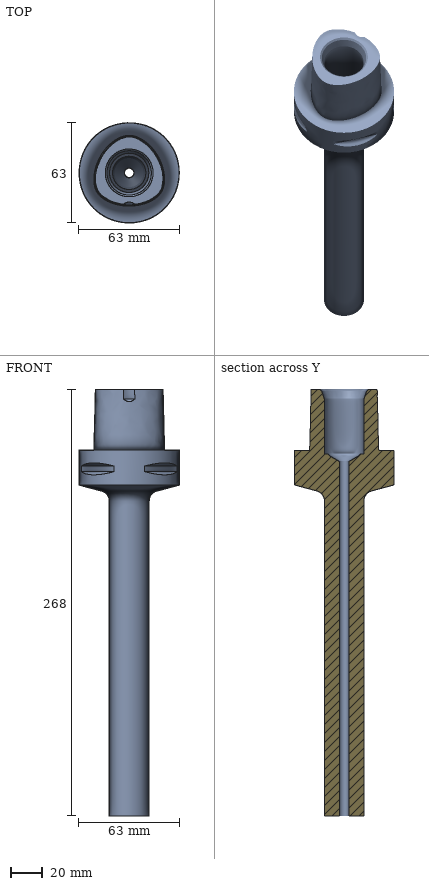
import cadquery as cq
import math

total_length = 268.0
polygon_height = 38.0
bottom_z = polygon_height - total_length

base_mean_radius = 22.2
taper_per_height = 1 / 40
lobe_rise = 1.3
outline_points = 48

flange_radius = 31.5
flange_height = 22.0
bar_radius = 12.5
neck_fillet = 6.2
cone_angle = math.radians(15)

groove_center_z = -11.8
groove_floor_height = 3.5
groove_depth = 3.5
groove_flank_angle = math.radians(30)

notch_radius = 4.8
notch_depth = 1.5
notch_straight_height = 6.0

mouth_radius = 15.0
mouth_chamfer = 1.0
mouth_depth = 6.0
seat_radius = 12.3
bore_radius = 10.5
point_radius = 9.0
bore_depth = 40.2
coolant_radius = 3.0
drill_point_angle = math.radians(30)


def polygon_wire(mean_radius, z):
    """Closed three-lobed outline of constant width at height z."""

    def point(index):
        angle = 2 * math.pi * index / outline_points
        support = mean_radius - lobe_rise * math.sin(3 * angle)
        slope = -3 * lobe_rise * math.cos(3 * angle)
        x = support * math.cos(angle) - slope * math.sin(angle)
        y = support * math.sin(angle) + slope * math.cos(angle)
        return cq.Vector(x, y, z)

    points = [point(index) for index in range(outline_points)]
    return cq.Wire.assembleEdges([cq.Edge.makeSpline(points, periodic=True)])


def make_polygon():
    top_mean_radius = base_mean_radius - taper_per_height * polygon_height
    base = polygon_wire(base_mean_radius, 0)
    top = polygon_wire(top_mean_radius, polygon_height)
    return cq.Workplane(obj=cq.Solid.makeLoft([base, top], True))


def make_flange_and_bar():
    neck_top_radius = bar_radius + neck_fillet * (1 - math.sin(cone_angle))
    neck_top_z = -flange_height - (flange_radius - neck_top_radius) * math.tan(cone_angle)
    neck_bottom_z = neck_top_z - neck_fillet * math.cos(cone_angle)
    middle_angle = (math.pi / 2 - cone_angle) / 2
    neck_middle = (
        bar_radius + neck_fillet * (1 - math.cos(middle_angle)),
        neck_bottom_z + neck_fillet * math.sin(middle_angle),
    )
    return (
        cq.Workplane("XZ")
        .lineTo(flange_radius, 0)
        .lineTo(flange_radius, -flange_height)
        .lineTo(neck_top_radius, neck_top_z)
        .threePointArc(neck_middle, (bar_radius, neck_bottom_z))
        .lineTo(bar_radius, bottom_z)
        .lineTo(0, bottom_z)
        .close()
        .revolve(360, (0, 0), (0, 1))
    )


def make_gripper_groove():
    """Straight trapezoidal groove cutter on the +X side."""
    floor_x = flange_radius - groove_depth
    outer_x = flange_radius + groove_depth
    floor_half = groove_floor_height / 2
    outer_half = floor_half + (outer_x - floor_x) * math.tan(groove_flank_angle)
    return (
        cq.Workplane("XZ")
        .moveTo(floor_x, groove_center_z - floor_half)
        .lineTo(outer_x, groove_center_z - outer_half)
        .lineTo(outer_x, groove_center_z + outer_half)
        .lineTo(floor_x, groove_center_z + floor_half)
        .close()
        .extrude(flange_radius, both=True)
    )


def make_notch():
    """Upright cylinder cutter with a 90-degree pointed end."""
    top_polygon_mean = base_mean_radius - taper_per_height * polygon_height
    axis_y = -(top_polygon_mean - lobe_rise - notch_depth + notch_radius)
    shoulder_z = polygon_height - notch_straight_height
    return (
        cq.Workplane("XZ")
        .moveTo(0, polygon_height)
        .lineTo(notch_radius, polygon_height)
        .lineTo(notch_radius, shoulder_z)
        .lineTo(0, shoulder_z - notch_radius)
        .close()
        .revolve(360, (0, 0), (0, 1))
        .translate((0, axis_y, 0))
    )


def make_bore():
    bore_floor_z = polygon_height - bore_depth
    point_z = bore_floor_z - (bore_radius - point_radius)
    coolant_z = point_z - (point_radius - coolant_radius) * math.tan(drill_point_angle)
    return (
        cq.Workplane("XZ")
        .moveTo(0, polygon_height)
        .lineTo(mouth_radius, polygon_height)
        .lineTo(mouth_radius - mouth_chamfer, polygon_height - mouth_chamfer)
        .lineTo(seat_radius, polygon_height - mouth_depth)
        .lineTo(seat_radius, bore_floor_z)
        .lineTo(bore_radius, bore_floor_z)
        .lineTo(point_radius, point_z)
        .lineTo(coolant_radius, coolant_z)
        .lineTo(coolant_radius, bottom_z)
        .lineTo(0, bottom_z)
        .close()
        .revolve(360, (0, 0), (0, 1))
    )


result = make_flange_and_bar().union(make_polygon())
for diagonal in (45, 135, 225, 315):
    result = result.cut(make_gripper_groove().rotate((0, 0, 0), (0, 0, 1), diagonal))
result = result.cut(make_notch()).cut(make_bore())